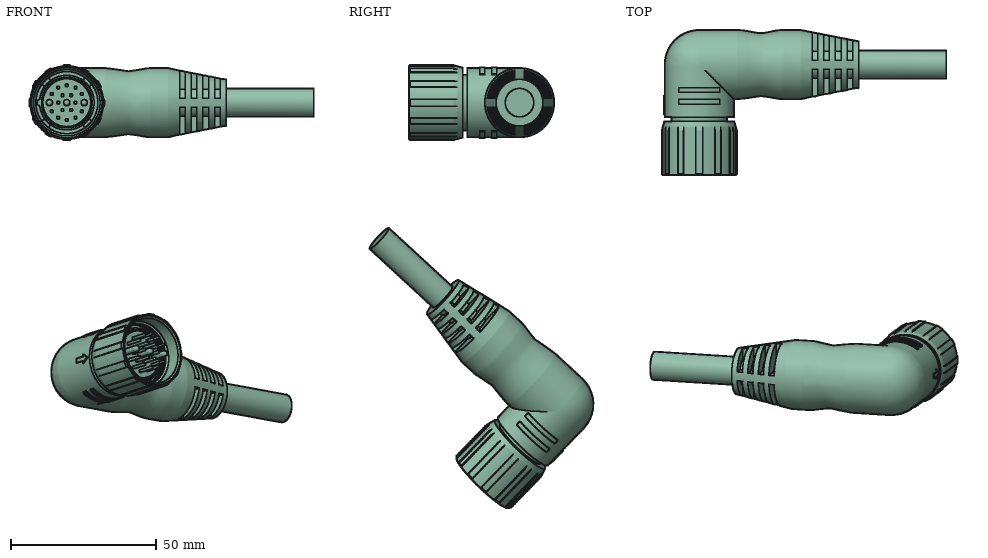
import cadquery as cq
import math


overall_length = 98.0

body_radius = 12.0
mating_face_y = -18.0
straight_end_x = 13.0
waist_radius = 10.9
collar_start_x = 28.9
collar_end_x = 34.8
cone_end_x = 54.9
cone_end_radius = 8.0
cable_radius = 4.9

slot_count = 4
slot_width = 2.0
slot_pitch = 4.0
first_slot_x = 38.8
web_half_width = 1.6

mark_height = 0.3
bar_length = 14.1
bar_width = 1.7
bar_centers_y = (-8.7, -12.8)
arrow_tail_y = -10.8
arrow_head_y = -14.4
arrow_tip_y = -17.1
arrow_shaft_half_width = 0.8
arrow_head_half_width = 1.7

nut_diameter = 26.0
nut_radius = nut_diameter / 2
nut_back_y = -19.5
nut_front_y = -38.1
nut_back_radius = 12.1
nut_cone_length = 3.2
nut_front_chamfer = 0.5
rib_count = 12
rib_width = 2.4
panel_radius = 12.6
bore_radius = 11.5
bore_depth = 5.9
lip_radius = 12.2
lip_chamfer_length = 0.5
throat_radius = 10.7
throat_chamfer_length = 0.6
groove_radius = 11.2
groove_depth = 7.1
groove_width = 0.8
floor_depth = 8.8

neck_radius = 9.6
flange_thickness = 2.0
shoulder_radius = 9.4
boss_radius = 8.7
boss_chamfer = 0.5
face_depth = 6.9
boss_height = 0.8
key_outer_radius = 10.2
key_root_half_width = 1.2
key_tip_half_width = 0.6
notch_count = 4
notch_half_angle = 9.0
notch_depth = 0.4

pin_tip_depth = 0.1
pin_embed = 1.0
power_pin_radius = 1.1
signal_pin_radius = 0.5
outer_pin_circle = 6.0
inner_pin_circle = 2.9
outer_pin_step = 30
inner_pin_step = 60

cable_end_x = overall_length - nut_radius
floor_y = nut_front_y + floor_depth
flange_back_y = floor_y + flange_thickness
face_y = nut_front_y + face_depth


def cylinder_y(radius, start_y, end_y):
    """Cylinder on the connector axis between two Y positions."""
    return cq.Workplane("XZ", origin=(0, start_y, 0)).circle(radius).extrude(start_y - end_y)


def ring_y(outer_radius, inner_radius, start_y, end_y):
    """Plain ring on the connector axis between two Y positions."""
    return cylinder_y(outer_radius, start_y, end_y).cut(cylinder_y(inner_radius, start_y, end_y))


def polar(radius, angle):
    """Point on a circle, with the angle in degrees."""
    return radius * math.cos(math.radians(angle)), radius * math.sin(math.radians(angle))


def make_cable_arm():
    """Straight arm, waist, collar and cone revolved about the X axis."""
    waist_x = (straight_end_x + collar_start_x) / 2
    return (
        cq.Workplane("XY")
        .moveTo(0, 0)
        .lineTo(0, body_radius)
        .lineTo(straight_end_x, body_radius)
        .spline(
            [(waist_x, waist_radius), (collar_start_x, body_radius)],
            tangents=[(1, 0), (1, 0), (1, 0)],
            includeCurrent=True,
        )
        .lineTo(collar_end_x, body_radius)
        .lineTo(cone_end_x, cone_end_radius)
        .lineTo(cone_end_x, 0)
        .close()
        .revolve(360, (0, 0, 0), (1, 0, 0))
    )


def make_slot(start_x):
    """Four quadrant pockets around the cable, kept apart by a cross-shaped web."""
    pocket_side = body_radius
    pocket_center = web_half_width + pocket_side / 2
    quadrants = [(a * pocket_center, b * pocket_center) for a in (-1, 1) for b in (-1, 1)]
    plane = cq.Workplane("YZ", origin=(start_x, 0, 0))
    pockets = plane.pushPoints(quadrants).rect(pocket_side, pocket_side).extrude(slot_width)
    return pockets.cut(plane.circle(cable_radius).extrude(slot_width))


def make_bars():
    """Two raised bars across the elbow on both its +Z and -Z sides."""
    mark_radius = body_radius + mark_height
    bars = cq.Workplane("XY")
    for center_y in bar_centers_y:
        ring = ring_y(mark_radius, cable_radius, center_y + bar_width / 2, center_y - bar_width / 2)
        strip = cq.Workplane("XY").box(bar_length, bar_width, 2 * mark_radius)
        bars = bars.add(ring.intersect(strip.translate((0, center_y, 0))))
    return bars.combine()


def make_arrow():
    """Raised arrow on the -X side, pointing toward the coupling nut."""
    outline = [
        (arrow_tail_y, arrow_shaft_half_width),
        (arrow_head_y, arrow_shaft_half_width),
        (arrow_head_y, arrow_head_half_width),
        (arrow_tip_y, 0),
        (arrow_head_y, -arrow_head_half_width),
        (arrow_head_y, -arrow_shaft_half_width),
        (arrow_tail_y, -arrow_shaft_half_width),
    ]
    mark_radius = body_radius + mark_height
    prism = cq.Workplane("YZ").polyline(outline).close().extrude(-2 * body_radius)
    return prism.intersect(ring_y(mark_radius, cable_radius, arrow_tail_y, arrow_tip_y))


def make_housing():
    """Elbow housing with its cable, strain relief slots and raised marks."""
    housing = make_cable_arm()
    housing = housing.union(cylinder_y(body_radius, 0, mating_face_y))
    housing = housing.union(cq.Workplane("XY").sphere(body_radius))
    for index in range(slot_count):
        housing = housing.cut(make_slot(first_slot_x + index * slot_pitch))
    cable = cq.Workplane("YZ", origin=(collar_end_x, 0, 0)).circle(cable_radius)
    housing = housing.union(cable.extrude(cable_end_x - collar_end_x))
    return housing.union(make_bars()).union(make_arrow())


def make_nut_blank():
    """Nut with its conical back and stepped bore, revolved about the Y axis."""
    bore_end_y = nut_front_y + bore_depth
    throat_y = bore_end_y + throat_chamfer_length
    groove_y = nut_front_y + groove_depth
    profile = [
        (neck_radius, nut_back_y),
        (nut_back_radius, nut_back_y),
        (nut_radius, nut_back_y - nut_cone_length),
        (nut_radius, nut_front_y + nut_front_chamfer),
        (nut_radius - nut_front_chamfer, nut_front_y),
        (lip_radius, nut_front_y),
        (bore_radius, nut_front_y + lip_chamfer_length),
        (bore_radius, bore_end_y),
        (throat_radius, throat_y),
        (throat_radius, groove_y),
        (groove_radius, groove_y),
        (groove_radius, groove_y + groove_width),
        (throat_radius, groove_y + groove_width),
        (throat_radius, flange_back_y),
        (neck_radius, flange_back_y),
    ]
    return cq.Workplane("XY").polyline(profile).close().revolve(360, (0, 0, 0), (0, 1, 0))


def make_panel_cutter():
    """Ring that lowers the panels between the ribs, with the ribs left out."""
    cutter = ring_y(nut_diameter, panel_radius, nut_back_y, nut_front_y)
    nut_length = nut_back_y - nut_front_y
    rib = cq.Workplane("XY").box(2 * nut_radius, nut_length, rib_width)
    rib = rib.translate((nut_radius, (nut_back_y + nut_front_y) / 2, 0))
    for index in range(rib_count):
        cutter = cutter.cut(rib.rotate((0, 0, 0), (0, 1, 0), index * 360 / rib_count))
    return cutter


def make_nut():
    """Coupling nut with grip ribs."""
    return make_nut_blank().cut(make_panel_cutter())


def make_insert_core():
    """Neck, flange, shoulder and chamfered boss of the contact carrier."""
    boss = cylinder_y(boss_radius, face_y + boss_height, face_y).faces("<Y").chamfer(boss_chamfer)
    return (
        cylinder_y(neck_radius, mating_face_y, floor_y)
        .union(cylinder_y(throat_radius, flange_back_y, floor_y))
        .union(cylinder_y(shoulder_radius, floor_y, face_y + boss_height))
        .union(boss)
    )


def make_key():
    """Tapered key on the -X side of the shoulder."""
    outline = [
        (-boss_radius, key_root_half_width),
        (-shoulder_radius, key_root_half_width),
        (-key_outer_radius, key_tip_half_width),
        (-key_outer_radius, -key_tip_half_width),
        (-shoulder_radius, -key_root_half_width),
        (-boss_radius, -key_root_half_width),
    ]
    key_front_y = face_y + boss_height
    plane = cq.Workplane("XZ", origin=(0, floor_y, 0))
    return plane.polyline(outline).close().extrude(floor_y - key_front_y)


def make_notches():
    """Shallow notches in the flange face, on the diagonals."""
    ring = ring_y(throat_radius, shoulder_radius, floor_y + notch_depth, floor_y)
    reach = 2 * throat_radius
    plane = cq.Workplane("XZ", origin=(0, floor_y + notch_depth, 0))
    sectors = cq.Workplane("XZ")
    for index in range(notch_count):
        middle = (index + 0.5) * 360 / notch_count
        corners = [
            (0, 0),
            polar(reach, middle - notch_half_angle),
            polar(reach, middle + notch_half_angle),
        ]
        sectors = sectors.add(plane.polyline(corners).close().extrude(notch_depth))
    return ring.intersect(sectors.combine())


def make_pins(points, radius):
    """Round-tipped pins standing on the insert face at the given X, Z points."""
    root_y = face_y + pin_embed
    tip_y = nut_front_y + pin_tip_depth
    shaft_end_y = tip_y + radius
    plane = cq.Workplane("XZ", origin=(0, root_y, 0))
    shafts = plane.pushPoints(points).circle(radius).extrude(root_y - shaft_end_y)
    tip_plane = cq.Workplane("XZ", origin=(0, shaft_end_y, 0))
    return shafts.union(tip_plane.pushPoints(points).sphere(radius))


def make_insert():
    """Contact carrier with three power pins and sixteen signal pins."""
    power_points = [(-outer_pin_circle, 0), (0, 0), (outer_pin_circle, 0)]
    outer_points = [
        polar(outer_pin_circle, angle) for angle in range(0, 360, outer_pin_step) if angle % 180 != 0
    ]
    inner_points = [polar(inner_pin_circle, angle) for angle in range(0, 360, inner_pin_step)]
    insert = make_insert_core().union(make_key()).cut(make_notches())
    insert = insert.union(make_pins(power_points, power_pin_radius))
    return insert.union(make_pins(outer_points + inner_points, signal_pin_radius))


housing = make_housing()
nut = make_nut()
insert = make_insert()

result = cq.Compound.makeCompound([housing.solids().val(), nut.solids().val(), insert.solids().val()])